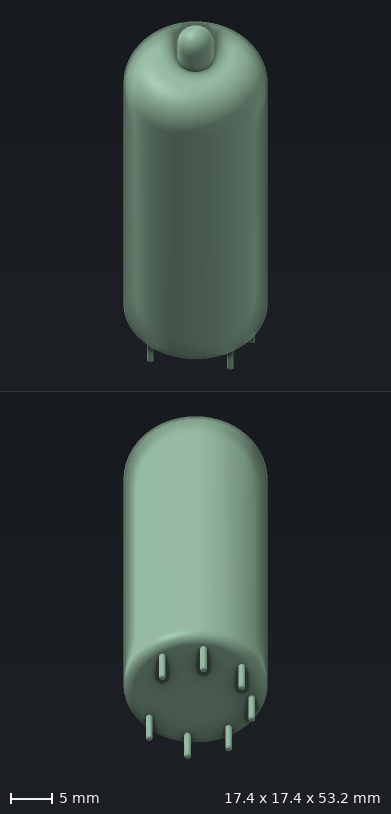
import cadquery as cq
import math

joint_overlap = 0.55

body_diameter = 17.4
body_bottom = 4.15
body_top = 48.35
shoulder_radius = 4.25
base_radius = 1.4

tip_diameter = 4.35
tip_top = 53.25

pin_diameter = 0.8
pin_end_chamfer = 0.15
pin_near_offset = 2.55
pin_far_offset = 6.4


def make_envelope():
    envelope = (
        cq.Workplane("XY", origin=(0, 0, body_bottom))
        .circle(body_diameter / 2)
        .extrude(body_top - body_bottom)
    )
    envelope = envelope.faces(">Z").edges().fillet(shoulder_radius)
    return envelope.faces("<Z").edges().fillet(base_radius)


def make_tip():
    tip_radius = tip_diameter / 2
    sphere_center = tip_top - tip_radius
    arc_offset = tip_radius * math.sqrt(0.5)
    return (
        cq.Workplane("XZ")
        .moveTo(0, body_top - joint_overlap)
        .lineTo(tip_radius, body_top - joint_overlap)
        .lineTo(tip_radius, sphere_center)
        .threePointArc((arc_offset, sphere_center + arc_offset), (0, tip_top))
        .close()
        .revolve(360, (0, 0, 0), (0, 1, 0))
    )


def pin_positions():
    positions = []
    for x_side in (-1, 1):
        for y_side in (-1, 1):
            positions.append((x_side * pin_far_offset, y_side * pin_near_offset))
            if (x_side, y_side) != (1, -1):
                positions.append((x_side * pin_near_offset, y_side * pin_far_offset))
    return positions


def make_pins():
    pins = (
        cq.Workplane("XY")
        .pushPoints(pin_positions())
        .circle(pin_diameter / 2)
        .extrude(body_bottom + joint_overlap)
    )
    return pins.faces("<Z").edges().chamfer(pin_end_chamfer)


result = make_envelope().union(make_tip()).union(make_pins())